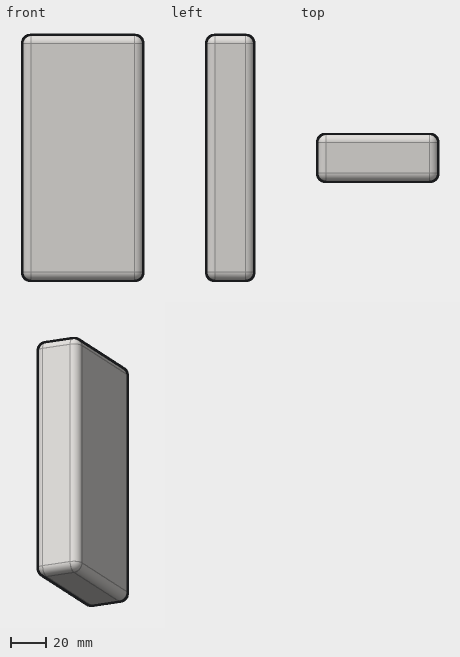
import cadquery as cq

width = 69.0
depth = 27.5
height = 140.0

edge_radius = 5.0

result = cq.Workplane("XY").box(width, depth, height).edges().fillet(edge_radius)